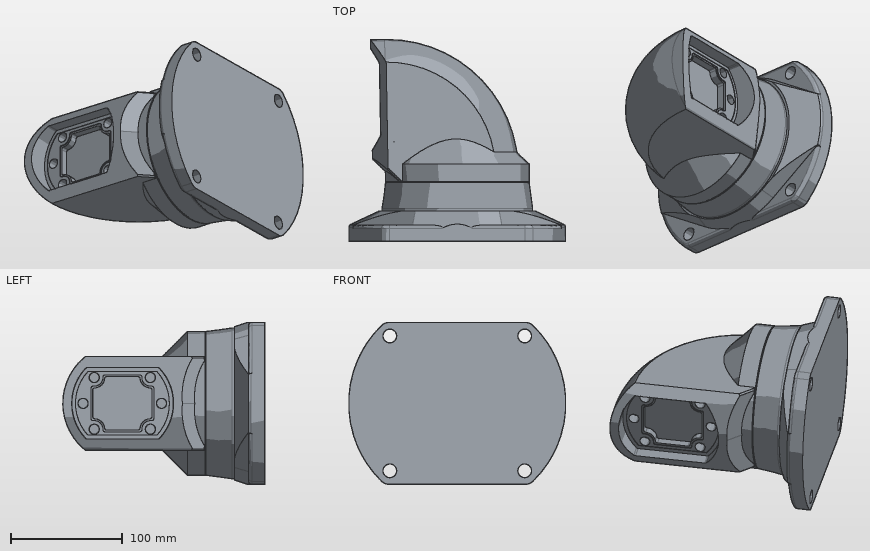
import cadquery as cq
import math

plate_width = 194.32
plate_height = 145
plate_radius = plate_width / 2
plate_half_height = plate_height / 2
plate_thickness = 14.6
plate_corner_radius = 10
plate_edge_fillet = 3.2
mount_spacing = 120.6
mount_hole_diameter = 12

skirt_start = 11
skirt_end = 27.2
hub_radius = 74
hub_draft_angle = 18.5
skirt_tangent_angle = 33.2
skirt_rim_start = 12.3
skirt_rim_end = 14.7
skirt_rim_width = 0.7
skirt_top_radius = 70

collar_diameter = 135
collar_end = 29.5
groove_diameter = 126
groove_width = 0.8
neck_end = 53.4
tower_diameter = 128.8
seat_height = 69.2
seat_rise = 30

elbow_lean = 1
elbow_half_width = 42
tube_radius = 53.5
bend_radius = 64
bend_x = -61.8
total_depth = 180.69
bend_y = (
    total_depth - tube_radius - bend_radius - bend_x * math.sin(math.radians(elbow_lean))
) / math.cos(math.radians(elbow_lean))
mouth_y = bend_y + bend_radius
elbow_bottom = 55
mouth_curve_radius = 70.4
mouth_tip_x = -74.6
mouth_blank_length = 40

relief_offset = 0.4
relief_v_rise = 3.6
relief_chamfer = 1.4

recess_radius = 45.5
recess_half_width = 32
recess_corner_radius = 2
recess_floor_x = -55
pad_radius = 42
pad_half_width = 28.4
pad_height = 0.5
bolt_diameter = 9
bolt_depth = 12
side_bolt_offset = 35.1
corner_bolt_y = 25.1
corner_bolt_z = 23.1
cavity_half_length = 28.1
cavity_half_width = 25.5
cavity_relief_radius = 7.7
cavity_corner_radius = 2
cavity_depth = 8
cavity_step_width = 1.6
cavity_step_depth = 0.8

tool_size = 400


def flatted_disc(plane, radius, half_width, depth):
    """Disc cut by two parallel flats, extruded along the plane normal."""
    disc = cq.Workplane(plane).circle(radius).extrude(depth)
    slab = cq.Workplane(plane).rect(2 * radius, 2 * half_width).extrude(depth)
    return disc.intersect(slab)


def base_plane(y):
    """Plane facing +Y, with its local y along Z."""
    return cq.Plane(origin=(0, y, 0), xDir=(-1, 0, 0), normal=(0, 1, 0))


def turned(points):
    """Solid of revolution about Y from (radius, Y) points."""
    return cq.Workplane("XY").polyline(points).close().revolve(360, (0, 0, 0), (0, 1, 0))


def plate_blank(y, depth):
    blank = flatted_disc(base_plane(y), plate_radius, plate_half_height, depth)
    return blank.edges("|Y").fillet(plate_corner_radius)


def make_plate():
    return plate_blank(0, plate_thickness).faces(">Y").edges().fillet(plate_edge_fillet)


def make_skirt():
    """Drafted round hub with tangent wings, cut by a shallow cone and the plate outline."""
    angle = math.radians(skirt_tangent_angle)
    tip = hub_radius / math.sin(angle)
    tangent_x = hub_radius * math.sin(angle)
    tangent_z = hub_radius * math.cos(angle)
    height = skirt_end - skirt_start
    hub = (
        cq.Workplane(base_plane(skirt_start))
        .moveTo(-tip, 0)
        .lineTo(-tangent_x, tangent_z)
        .threePointArc((0, hub_radius), (tangent_x, tangent_z))
        .lineTo(tip, 0)
        .lineTo(tangent_x, -tangent_z)
        .threePointArc((0, -hub_radius), (-tangent_x, -tangent_z))
        .close()
        .extrude(height, taper=hub_draft_angle)
    )
    cone = turned([
        (0, 0),
        (plate_radius, 0),
        (plate_radius, skirt_rim_start),
        (plate_radius - skirt_rim_width, skirt_rim_end),
        (skirt_top_radius, skirt_end),
        (0, skirt_end),
    ])
    return hub.intersect(cone).intersect(plate_blank(skirt_start, height))


def make_tower():
    collar_radius = collar_diameter / 2
    groove_radius = groove_diameter / 2
    tower_radius = tower_diameter / 2
    shaft = turned([
        (0, 0),
        (collar_radius, 0),
        (collar_radius, collar_end),
        (tower_radius, neck_end - groove_width),
        (groove_radius, neck_end - groove_width),
        (groove_radius, neck_end),
        (tower_radius, neck_end),
        (tower_radius, seat_height + seat_rise),
        (0, seat_height + seat_rise),
    ])
    seat = turned([
        (0, -seat_rise),
        (tower_radius + seat_height + seat_rise, -seat_rise),
        (tower_radius - seat_rise, seat_height + seat_rise),
        (0, seat_height + seat_rise),
    ])
    return shaft.intersect(lean(seat))


def lean(body):
    return body.rotate((0, 0, 0), (0, 0, 1), elbow_lean)


def elbow_section(bottom):
    """Flat-sided section with a round outer end; local x is radial, local y is Z."""
    flat_end = bend_radius + math.sqrt(tube_radius**2 - elbow_half_width**2)
    plane = cq.Plane(origin=(bend_x, bend_y, 0), xDir=(0, 1, 0), normal=(1, 0, 0))
    return (
        cq.Workplane(plane)
        .moveTo(bottom, -elbow_half_width)
        .lineTo(flat_end, -elbow_half_width)
        .threePointArc((bend_radius + tube_radius, 0), (flat_end, elbow_half_width))
        .lineTo(bottom, elbow_half_width)
        .close()
    )


def mouth_trim():
    """Material outside the cylinder that forms the mouth face."""
    axis_x = mouth_tip_x + mouth_curve_radius
    block = cq.Workplane("XY").box(tool_size, tool_size, tool_size)
    block = block.translate((axis_x - tool_size / 2, 0, 0))
    axis_start = cq.Workplane(base_plane(-tool_size)).center(-axis_x, 0)
    barrel = axis_start.circle(mouth_curve_radius).extrude(2 * tool_size)
    return block.cut(barrel)


def relief_trim():
    """Prism along the 45 degree diagonal with a shallow V-shaped top and chamfered ends."""
    plane = cq.Plane(origin=(0, 0, 0), xDir=(0, 0, -1), normal=(1, -1, 0))
    inner = elbow_half_width - relief_chamfer
    middle = relief_offset / math.sqrt(2)
    edge = (relief_offset + relief_v_rise) / math.sqrt(2)
    outline = [
        (0, middle),
        (inner, edge),
        (elbow_half_width, edge + relief_chamfer),
        (elbow_half_width, -tool_size),
        (-elbow_half_width, -tool_size),
        (-elbow_half_width, edge + relief_chamfer),
        (-inner, edge),
    ]
    return cq.Workplane(plane).polyline(outline).close().extrude(tool_size, both=True)


def mouth_plane(x):
    """Plane across the mouth facing +X; local x is Y, local y is Z."""
    return cq.Plane(origin=(x, mouth_y, 0), xDir=(0, 1, 0), normal=(1, 0, 0))


def cavity_prism(x, inset, depth):
    """Rectangular pocket stepped around the corner bolts, with its walls moved in by inset."""
    face = cq.Workplane(mouth_plane(x))
    prism = face.rect(2 * (cavity_half_length - inset), 2 * (cavity_half_width - inset)).extrude(depth)
    bosses = (
        face.rect(2 * corner_bolt_y, 2 * corner_bolt_z, forConstruction=True)
        .vertices()
        .circle(cavity_relief_radius + inset)
        .extrude(depth)
    )
    return prism.cut(bosses).edges("|X").fillet(cavity_corner_radius)


def recess_cutters():
    """Separate tools for the recess with its raised pad, the bolt holes and the stepped cavity."""
    opening = mouth_plane(recess_floor_x - mouth_blank_length)
    recess = flatted_disc(opening, recess_radius, recess_half_width, mouth_blank_length)
    recess = recess.edges("|X").fillet(recess_corner_radius)
    pad_face_x = recess_floor_x - pad_height
    pad = flatted_disc(mouth_plane(pad_face_x), pad_radius, pad_half_width, pad_height)

    corner_bolts = [(a * corner_bolt_y, b * corner_bolt_z) for a in (-1, 1) for b in (-1, 1)]
    side_bolts = [(-side_bolt_offset, 0), (side_bolt_offset, 0)]
    face = cq.Workplane(mouth_plane(pad_face_x))
    bolts = face.pushPoints(corner_bolts + side_bolts).circle(bolt_diameter / 2).extrude(bolt_depth)

    lead_in = cavity_prism(pad_face_x, 0, cavity_step_depth)
    cavity = cavity_prism(pad_face_x, cavity_step_width, cavity_depth)
    return recess.cut(pad), bolts, lead_in, cavity


def make_elbow():
    straight = elbow_section(elbow_bottom - bend_y).extrude(-mouth_blank_length)
    bend = elbow_section(0).revolve(90, (0, 0, 0), (0, -1, 0))
    foot = cq.Workplane("XY").box(
        -bend_x, bend_y - elbow_bottom, 2 * elbow_half_width, centered=(False, False, True)
    ).translate((bend_x, elbow_bottom, 0))
    elbow = straight.union(bend).union(foot).cut(mouth_trim()).cut(relief_trim())
    return lean(elbow)


def mount_holes():
    return (
        cq.Workplane(base_plane(0))
        .rect(mount_spacing, mount_spacing, forConstruction=True)
        .vertices()
        .circle(mount_hole_diameter / 2)
        .extrude(plate_thickness)
    )


result = make_plate().union(make_skirt()).union(make_tower()).union(make_elbow()).cut(mount_holes())
for cutter in recess_cutters():
    result = result.cut(lean(cutter))